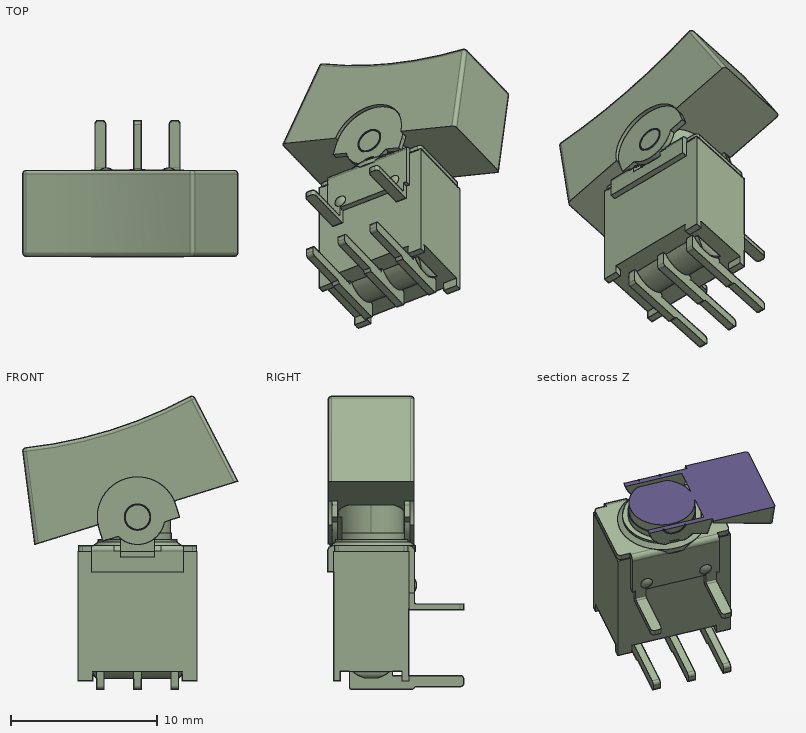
import cadquery as cq
import math


OVERLAP = 0.1

HOUSING_LENGTH = 8.14
HOUSING_DEPTH = 5.14
HOUSING_TOP = 8.84
FOOT_HEIGHT = 0.65
FOOT_LENGTH = 1.02
FOOT_DEPTH = 0.47

POTTING_HALF_LENGTH = 3.05
POTTING_END_LENGTH = 0.4
POTTING_WIDTH = 2.5
POTTING_DROP = 0.49

SHEET = 0.4
FRAME_TOP = HOUSING_TOP + SHEET
FRAME_HALF_DEPTH = HOUSING_DEPTH / 2 + SHEET
FRAME_LENGTH = 6.3
FRAME_BEND_RADIUS = 0.36
PLATE_LENGTH = 8.08
PLATE_DEPTH = 5.0
PLATE_CORNER_RADIUS = 0.27
FRONT_TAB_BOTTOM = 7.45
REAR_PLATE_BOTTOM = 6.0
LEG_WIDTH = 0.75
LEG_BOTTOM = 4.86
LEG_BEND_RADIUS = 0.12
DIMPLE_X = 2.13
DIMPLE_Z = 6.54
DIMPLE_DIAMETER = 0.84
DIMPLE_HEIGHT = 0.14

SLOT_WIDTH = 2.34
SLOT_BOTTOM = 8.47
SLOT_BACK_Y = -2.0
SLOT_BEVEL_WIDTH = 3.2

PITCH = 2.54
PIN_REACH = 6.33
TIP_RADIUS = 0.25
TERMINAL_THICKNESS = 0.52
TERMINAL_BOTTOM = -0.58
TERMINAL_FRONT_Y = -1.49
TERMINAL_SHOULDER_Y = 1.46
BLADE_TOP = 0.375
BLADE_BOTTOM = -0.395
BLADE_START_Y = 3.02
TOE_RADIUS = 0.18

COLLAR_BASE_RADIUS = 3.03
COLLAR_TOP_RADIUS = 2.69
COLLAR_TOP = 9.66
COLLAR_LIP = 0.16
POST_BASE_RADIUS = 2.31
POST_BASE_TOP = 10.1
POST_RADIUS = 2.26
POST_TOP = 12.0

PIVOT_Z = 11.19
TILT = 17.3
DRAFT = 10.0
ROCKER_DEPTH = 5.88
ROCKER_BOTTOM = 0.3
ROCKER_TOP = 6.84
ROCKER_HALF_LENGTH = 7.265
ROCKER_SAG = 0.62
ROCKER_EDGE_RADIUS = 0.25

EAR_RADIUS = 2.75
EAR_RECESS = 0.27
EAR_THICKNESS = 0.38
EAR_BOTTOM = -0.86
LUG_RADIUS = 1.87
PIVOT_HOLE_DIAMETER = 1.8
PIVOT_PIN_DIAMETER = 1.68
PIVOT_GROOVE_DEPTH = 0.1


def block(x_range, y_range, z_range):
    """Box between the given limits."""
    size = [limits[1] - limits[0] for limits in (x_range, y_range, z_range)]
    corner = (x_range[0], y_range[0], z_range[0])
    return cq.Workplane("XY").box(*size, centered=False).translate(corner)


def cylinder_y(radius, y_start, y_end):
    """Cylinder along Y about the origin."""
    return cq.Workplane("XZ", origin=(0, y_end, 0)).circle(radius).extrude(y_end - y_start)


def plate_yz(outline, x_centre, width):
    """Closed outline of (y, z) points given thickness along X."""
    plate = cq.Workplane("YZ").polyline(outline).close().extrude(width / 2, both=True)
    return plate.translate((x_centre, 0, 0))


def make_housing():
    body = cq.Workplane("XY").box(
        HOUSING_LENGTH, HOUSING_DEPTH, HOUSING_TOP, centered=(True, True, False)
    )
    gap_x = HOUSING_LENGTH - 2 * FOOT_LENGTH
    gap_y = HOUSING_DEPTH - 2 * FOOT_DEPTH
    for length, depth in ((gap_x, HOUSING_DEPTH), (HOUSING_LENGTH, gap_y)):
        body = body.cut(cq.Workplane("XY").box(length, depth, FOOT_HEIGHT, centered=(True, True, False)))
    return body


def make_potting():
    half_width = POTTING_WIDTH / 2
    bottom = FOOT_HEIGHT - POTTING_DROP
    bulge = (
        cq.Workplane("YZ")
        .moveTo(-half_width, FOOT_HEIGHT)
        .threePointArc((0, bottom), (half_width, FOOT_HEIGHT))
        .lineTo(half_width, FOOT_HEIGHT + OVERLAP)
        .lineTo(-half_width, FOOT_HEIGHT + OVERLAP)
        .close()
        .extrude(POTTING_HALF_LENGTH, both=True)
    )
    flat_half = POTTING_HALF_LENGTH - POTTING_END_LENGTH
    arc_middle = math.radians(45)
    bend_x = flat_half + POTTING_END_LENGTH * math.sin(arc_middle)
    bend_z = FOOT_HEIGHT - POTTING_DROP * math.cos(arc_middle)
    rounded = (
        cq.Workplane("XZ")
        .moveTo(-flat_half, bottom)
        .lineTo(flat_half, bottom)
        .threePointArc((bend_x, bend_z), (POTTING_HALF_LENGTH, FOOT_HEIGHT))
        .lineTo(POTTING_HALF_LENGTH, FOOT_HEIGHT + OVERLAP)
        .lineTo(-POTTING_HALF_LENGTH, FOOT_HEIGHT + OVERLAP)
        .lineTo(-POTTING_HALF_LENGTH, FOOT_HEIGHT)
        .threePointArc((-bend_x, bend_z), (-flat_half, bottom))
        .close()
        .extrude(half_width, both=True)
    )
    return bulge.intersect(rounded)


def make_terminal(x):
    heel_rise = BLADE_BOTTOM - TERMINAL_BOTTOM
    outline = [
        (TERMINAL_FRONT_Y, TERMINAL_BOTTOM),
        (BLADE_START_Y - heel_rise, TERMINAL_BOTTOM),
        (BLADE_START_Y, BLADE_BOTTOM),
        (PIN_REACH, BLADE_BOTTOM),
        (PIN_REACH, BLADE_TOP),
        (TERMINAL_SHOULDER_Y, BLADE_TOP),
        (TERMINAL_SHOULDER_Y, FOOT_HEIGHT + OVERLAP),
        (TERMINAL_FRONT_Y, FOOT_HEIGHT + OVERLAP),
    ]
    terminal = plate_yz(outline, x, TERMINAL_THICKNESS)
    terminal = terminal.faces(">Y").edges("|X").fillet(TIP_RADIUS)
    return terminal.faces("<Y").edges("|X and <Z").fillet(TOE_RADIUS)


def make_leg(x):
    back = FRAME_HALF_DEPTH
    front = HOUSING_DEPTH / 2
    outline = [
        (front, REAR_PLATE_BOTTOM + OVERLAP),
        (front, LEG_BOTTOM),
        (PIN_REACH, LEG_BOTTOM),
        (PIN_REACH, LEG_BOTTOM + SHEET),
        (back, LEG_BOTTOM + SHEET),
        (back, REAR_PLATE_BOTTOM + OVERLAP),
    ]
    leg = plate_yz(outline, x, LEG_WIDTH)
    leg = leg.faces("<Z").edges("|X and <Y").fillet(LEG_BEND_RADIUS)
    leg = leg.edges(cq.NearestToPointSelector((x, back, LEG_BOTTOM + SHEET))).fillet(LEG_BEND_RADIUS)
    return leg.faces(">Y").edges("|Z").fillet(TIP_RADIUS)


def make_dimple(x):
    """Spherical cap standing on the back of the rear plate."""
    radius = ((DIMPLE_DIAMETER / 2) ** 2 + DIMPLE_HEIGHT ** 2) / (2 * DIMPLE_HEIGHT)
    centre_y = FRAME_HALF_DEPTH + DIMPLE_HEIGHT - radius
    sphere = cq.Workplane("XY").sphere(radius).translate((x, centre_y, DIMPLE_Z))
    keep = block(
        (x - radius, x + radius),
        (FRAME_HALF_DEPTH - OVERLAP, FRAME_HALF_DEPTH + DIMPLE_HEIGHT),
        (DIMPLE_Z - radius, DIMPLE_Z + radius),
    )
    return sphere.intersect(keep)


def make_frame():
    half = FRAME_LENGTH / 2
    depth = FRAME_HALF_DEPTH
    wall = HOUSING_DEPTH / 2
    frame = block((-half, half), (-depth, depth), (HOUSING_TOP, FRAME_TOP))
    frame = frame.union(block((-half, half), (-depth, -wall), (FRONT_TAB_BOTTOM, FRAME_TOP)))
    frame = frame.union(block((-half, half), (wall, depth), (REAR_PLATE_BOTTOM, FRAME_TOP)))
    frame = frame.faces(">Z").edges("|X").fillet(FRAME_BEND_RADIUS)
    plate = (
        cq.Workplane("XY", origin=(0, 0, HOUSING_TOP))
        .rect(PLATE_LENGTH, PLATE_DEPTH)
        .extrude(SHEET)
        .edges("|Z")
        .fillet(PLATE_CORNER_RADIUS)
    )
    frame = frame.union(plate)
    for side in (-1, 1):
        frame = frame.union(make_leg(side * PITCH))
        frame = frame.union(make_dimple(side * DIMPLE_X))
    return frame


def make_collar_and_post():
    """Turned collar and stepped post carrying the rocker."""
    return (
        cq.Workplane("XZ")
        .polyline([
            (0, HOUSING_TOP),
            (COLLAR_BASE_RADIUS, HOUSING_TOP),
            (COLLAR_BASE_RADIUS, FRAME_TOP),
            (COLLAR_TOP_RADIUS, COLLAR_TOP - COLLAR_LIP),
            (COLLAR_TOP_RADIUS, COLLAR_TOP),
            (POST_BASE_RADIUS, COLLAR_TOP),
            (POST_BASE_RADIUS, POST_BASE_TOP),
            (POST_RADIUS, POST_BASE_TOP),
            (POST_RADIUS, POST_TOP),
            (0, POST_TOP),
        ])
        .close()
        .revolve(360, (0, 0, 0), (0, 1, 0))
    )


def cut_front_slot(body):
    """Notch through the front tab and the collar, with the bend bevelled beside it."""
    half = SLOT_WIDTH / 2
    front_y = -FRAME_HALF_DEPTH - OVERLAP
    tab_notch = block((-half, half), (front_y, -HOUSING_DEPTH / 2), (SLOT_BOTTOM, PIVOT_Z))
    collar_notch = block((-half, half), (front_y, SLOT_BACK_Y), (HOUSING_TOP, PIVOT_Z))
    bevel = plate_yz(
        [
            (-FRAME_HALF_DEPTH, FRAME_TOP - FRAME_BEND_RADIUS),
            (-FRAME_HALF_DEPTH, FRAME_TOP),
            (-FRAME_HALF_DEPTH + FRAME_BEND_RADIUS, FRAME_TOP),
        ],
        0,
        SLOT_BEVEL_WIDTH,
    )
    return body.cut(tab_notch).cut(collar_notch).cut(bevel)


def make_rocker_body():
    height = ROCKER_TOP - ROCKER_BOTTOM
    top_half = ROCKER_HALF_LENGTH - height * math.tan(math.radians(DRAFT))
    body = (
        cq.Workplane("XZ")
        .moveTo(-ROCKER_HALF_LENGTH, ROCKER_BOTTOM)
        .lineTo(ROCKER_HALF_LENGTH, ROCKER_BOTTOM)
        .lineTo(top_half, ROCKER_TOP)
        .threePointArc((0, ROCKER_TOP - ROCKER_SAG), (-top_half, ROCKER_TOP))
        .close()
        .extrude(ROCKER_DEPTH / 2, both=True)
    )
    above_bottom = cq.selectors.BoxSelector(
        (-ROCKER_HALF_LENGTH, -ROCKER_DEPTH, ROCKER_BOTTOM + OVERLAP),
        (ROCKER_HALF_LENGTH, ROCKER_DEPTH, ROCKER_TOP + OVERLAP),
    )
    return body.edges(above_bottom).fillet(ROCKER_EDGE_RADIUS)


def make_ear():
    """Front ear: wide half-round plate with a round lug below it."""
    face_y = -ROCKER_DEPTH / 2 + EAR_RECESS
    back_y = face_y + EAR_THICKNESS
    skirt = block((-EAR_RADIUS, EAR_RADIUS), (face_y, back_y), (EAR_BOTTOM, 0))
    upper = cylinder_y(EAR_RADIUS, face_y, back_y).intersect(
        block((-EAR_RADIUS, EAR_RADIUS), (face_y, back_y), (0, EAR_RADIUS))
    )
    ear = upper.union(skirt).union(cylinder_y(LUG_RADIUS, face_y, back_y))
    groove = cylinder_y(PIVOT_HOLE_DIAMETER / 2, face_y, face_y + PIVOT_GROOVE_DEPTH)
    groove = groove.cut(cylinder_y(PIVOT_PIN_DIAMETER / 2, face_y, face_y + PIVOT_GROOVE_DEPTH))
    return ear, groove


def make_rocker():
    rocker = make_rocker_body()
    face_y = -ROCKER_DEPTH / 2
    recess = cylinder_y(EAR_RADIUS, face_y - OVERLAP, face_y + EAR_RECESS)
    ear, groove = make_ear()
    rocker = rocker.cut(recess).cut(recess.mirror("XZ"))
    rocker = rocker.union(ear).union(ear.mirror("XZ"))
    rocker = rocker.cut(groove).cut(groove.mirror("XZ"))
    return rocker.rotate((0, 0, 0), (0, 1, 0), -TILT).translate((0, 0, PIVOT_Z))


base = make_housing().union(make_potting())
for column in (-1, 0, 1):
    base = base.union(make_terminal(column * PITCH))
base = base.union(make_frame()).union(make_collar_and_post())
base = cut_front_slot(base)

result = base.union(make_rocker())